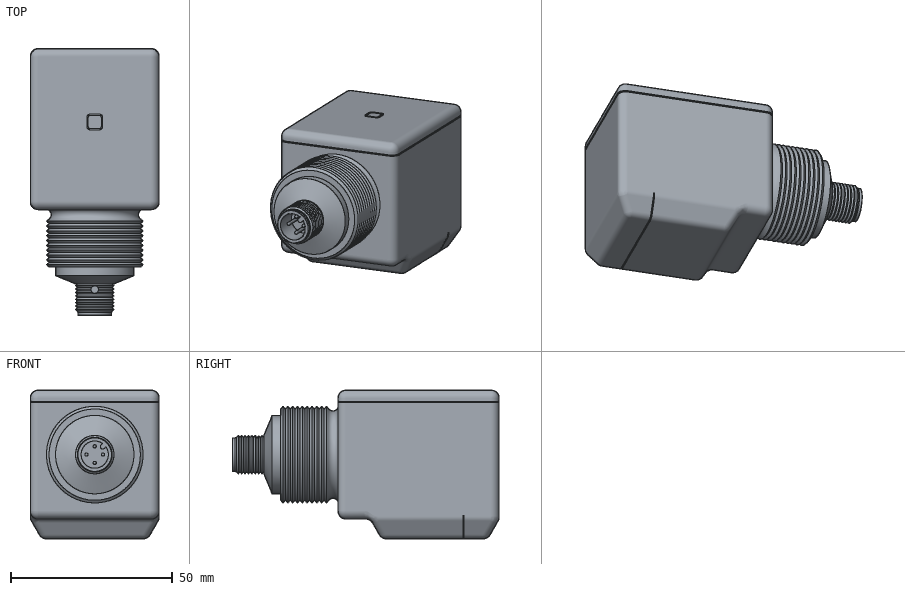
import cadquery as cq
import math


width = 40.0
depth = 50.0
edge_radius = 2.5
pad_height = 6.1
pad_taper = 30
half_width = width / 2

groove_width = 0.3
groove_depth = 0.25
lid_seam_drop = 3.65
mark_from_back = 11.1
mark_above_pad = 1.2
window_size = 4.9
window_corner = 1.0
window_groove_width = 0.4
window_from_back = 22.8

neck_length = 2.8
large_thread_end = 17.8
shoulder_end = 20.45
cone_end = 23.0
plug_thread_end = 31.5
tip_end = 82.8 - depth

neck_base_radius = 14.6
neck_waist_radius = 13.6
large_thread_radius = 15.0
large_thread_depth = 0.8
large_thread_turns = 10
shoulder_radius = 12.2
plug_thread_radius = 6.0
plug_thread_depth = 0.6
plug_thread_turns = 8
tip_radius = 5.2
tip_chamfer = 0.4

bore_radius = 4.2
bore_depth = 8.0
pin_radius = 0.5
pin_nose = 0.3
pin_circle_radius = 2.6
pin_recess = 2.1
pin_count = 4
key_radius = 0.75
key_centre_radius = 3.5
key_angle = 45

index_radius = 1.2
index_from_tip = 8.0


def housing(inset=0):
    """Rounded housing with its tapered pad, shrunk toward its middle by inset."""
    half = half_width - inset
    block = cq.Workplane("XY").box(2 * half, depth - 2 * inset, 2 * half).translate((0, depth / 2, 0))
    pad = (
        cq.Workplane("XY", origin=(0, depth - half_width, -half))
        .rect(2 * half, 2 * half)
        .extrude(-pad_height, taper=pad_taper)
    )
    return block.union(pad).edges().fillet(edge_radius - inset)


def slab(size_y, size_z, centre_y, centre_z):
    """Block wider than the housing, used to pick out a strip of its skin."""
    return cq.Workplane("XY").box(2 * width, size_y, size_z).translate((0, centre_y, centre_z))


def skin_grooves(body):
    """Lid seam around the housing and the mark line around the pad."""
    skin = body.cut(housing(groove_depth))
    seam = slab(2 * depth, groove_width, depth / 2, half_width - lid_seam_drop)
    mark_height = pad_height + mark_above_pad
    mark_z = -half_width + mark_above_pad - mark_height / 2
    mark = slab(groove_width, mark_height, depth - mark_from_back, mark_z)
    return skin.intersect(seam.union(mark))


def window_groove():
    """Rounded square outline around the indicator window on the top face."""
    def prism(size, corner):
        return (
            cq.Workplane("XY", origin=(0, depth - window_from_back, half_width))
            .rect(size, size)
            .extrude(-groove_depth)
            .edges("|Z")
            .fillet(corner)
        )

    inner_size = window_size - 2 * window_groove_width
    return prism(window_size, window_corner).cut(prism(inner_size, window_corner - window_groove_width))


def add_thread(profile, start, end, crest, root, turns):
    """Append V-shaped thread ridges to a profile that stands at the root radius at start."""
    pitch = (end - start) / turns
    for turn in range(turns):
        profile = profile.lineTo(crest, -(start + (turn + 0.5) * pitch))
        profile = profile.lineTo(root, -(start + (turn + 1) * pitch))
    return profile


def connector():
    """Solid of revolution: neck, large thread, shoulder, cone, plug thread and tip."""
    large_root = large_thread_radius - large_thread_depth
    plug_root = plug_thread_radius - plug_thread_depth
    profile = (
        cq.Workplane("XY")
        .moveTo(0, edge_radius)
        .lineTo(neck_base_radius, edge_radius)
        .lineTo(neck_base_radius, 0)
        .threePointArc((neck_waist_radius, -neck_length / 2), (large_root, -neck_length))
    )
    profile = add_thread(
        profile, neck_length, large_thread_end, large_thread_radius, large_root, large_thread_turns
    )
    profile = (
        profile.lineTo(shoulder_radius, -large_thread_end)
        .lineTo(shoulder_radius, -shoulder_end)
        .lineTo(plug_thread_radius, -cone_end)
        .lineTo(plug_root, -cone_end)
    )
    profile = add_thread(
        profile, cone_end, plug_thread_end, plug_thread_radius, plug_root, plug_thread_turns
    )
    profile = (
        profile.lineTo(tip_radius, -(plug_thread_end + tip_chamfer))
        .lineTo(tip_radius, -tip_end)
        .lineTo(0, -tip_end)
        .close()
    )
    return profile.revolve(360, (0, 0, 0), (0, 1, 0))


def plug_cavity():
    """Bore of the plug, open at the tip."""
    return cq.Workplane("XZ", origin=(0, -tip_end, 0)).circle(bore_radius).extrude(-bore_depth)


def contact_pin(angle):
    """Round-nosed contact pin standing on the bore floor."""
    x = pin_circle_radius * math.cos(angle)
    z = pin_circle_radius * math.sin(angle)
    floor = cq.Workplane("XZ", origin=(x, bore_depth - tip_end, z))
    length = bore_depth - pin_recess
    return floor.circle(pin_radius).extrude(length).faces("<Y").edges().fillet(pin_nose)


def coding_key():
    """Round-nosed rib along the bore wall, flush with the tip."""
    reach = (bore_radius + tip_radius) / 2 - key_centre_radius
    floor = cq.Workplane("XZ", origin=(0, bore_depth - tip_end, 0))
    nose = floor.center(key_centre_radius, 0).circle(key_radius).extrude(bore_depth)
    web = floor.center(key_centre_radius + reach / 2, 0).rect(reach, 2 * key_radius).extrude(bore_depth)
    return nose.union(web).rotate((0, 0, 0), (0, 1, 0), -key_angle)


def index_recess():
    """Round flat-bottomed recess in the thread, with its floor level with the tip surface."""
    floor = cq.Workplane("XY", origin=(0, index_from_tip - tip_end, tip_radius))
    return floor.circle(index_radius).extrude(plug_thread_radius - tip_radius)


body = housing()
result = body.cut(skin_grooves(body)).cut(window_groove())
result = result.union(connector()).cut(index_recess()).cut(plug_cavity())
for pin in range(pin_count):
    result = result.union(contact_pin(2 * math.pi * pin / pin_count))
result = result.union(coding_key())